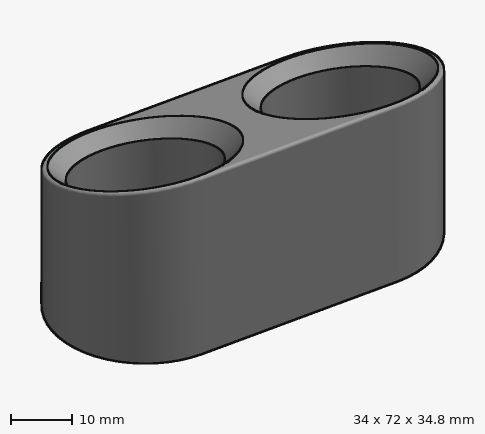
import cadquery as cq
import math

length = 72.0
width = 34.0
low_height = 24.9
high_height = 35.0
hole_diameter = 26.0
hole_chamfer = 3.0
rim_fillet = 0.5

hole_spacing = length - width
slope_angle = math.degrees(math.atan2(high_height - low_height, width))


def sloped_block():
    """Oblong block whose flat top rises toward +X."""
    profile = [
        (-width / 2, 0),
        (width / 2, 0),
        (width / 2, high_height),
        (-width / 2, low_height),
    ]
    wedge = cq.Workplane("XZ").polyline(profile).close().extrude(length / 2, both=True)
    oblong = cq.Workplane("XY").slot2D(length, width, 90).extrude(high_height)
    return oblong.intersect(wedge)


def sloping_face(body):
    """Select the top face by its normal, tilted toward -X."""
    tilt = math.radians(slope_angle)
    normal = cq.Vector(-math.sin(tilt), 0, math.cos(tilt))
    return body.faces(cq.selectors.DirectionMinMaxSelector(normal, True))


block = sloped_block()
block = sloping_face(block).edges().fillet(rim_fillet)

holes = (
    cq.Workplane("XY")
    .pushPoints([(0, -hole_spacing / 2), (0, hole_spacing / 2)])
    .circle(hole_diameter / 2)
    .extrude(high_height)
)
block = block.cut(holes)

mouth_edges = [edge for wire in sloping_face(block).val().innerWires() for edge in wire.Edges()]
result = block.newObject(mouth_edges).chamfer(hole_chamfer)